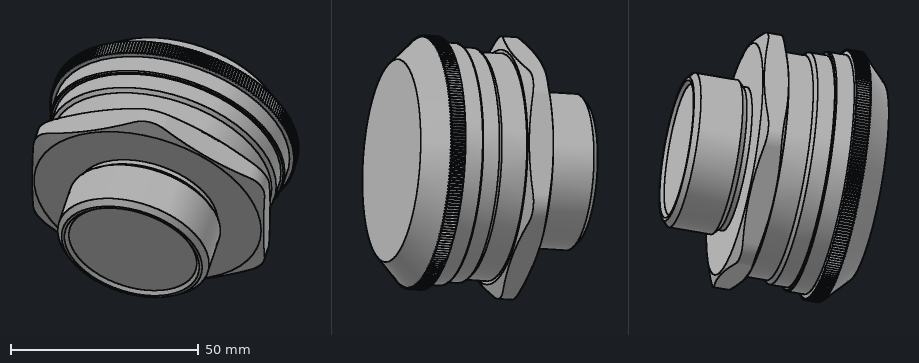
import cadquery as cq
import math


nose_length = 14.5
relief_length = 1.4
hex_thickness = 7.15
neck_length = 6.9
front_collar_length = 5.65
rear_collar_length = 5.15
cap_length = 10.85

nose_diameter = 41.9
relief_diameter = 38.9
neck_diameter = 61.0
front_collar_diameter = 63.0
rear_collar_diameter = 65.0

nose_chamfer = (nose_diameter - relief_diameter) / 2
front_collar_chamfer = (front_collar_diameter - neck_diameter) / 2
rear_collar_chamfer = 0.35

recess_mouth_diameter = 37.35
recess_floor_diameter = 35.4
recess_depth = (recess_mouth_diameter - recess_floor_diameter) / 2

hex_sides = 6
hex_across_flats = 64.05
hex_across_corners = 71.4
hex_face_diameter = 62.8
hex_chamfer_angle = 20.0

cap_diameter = 68.0
cap_end_diameter = 54.25
cap_lip_diameter = 65.4
cap_lip_bevel = 0.35
knurl_count = 240

relief_start = nose_length
hex_start = relief_start + relief_length
neck_start = hex_start + hex_thickness
front_collar_start = neck_start + neck_length
rear_collar_start = front_collar_start + front_collar_length
cap_start = rear_collar_start + rear_collar_length
cap_end = cap_start + cap_length


def turned(profile):
    """Revolve a list of (radius, y) points, closed along the axis, about Y."""
    start_y = profile[0][1]
    end_y = profile[-1][1]
    outline = [(0, start_y)] + profile + [(0, end_y)]
    return cq.Workplane("XY").polyline(outline).close().revolve(360, (0, 0), (0, 1))


def section(diameter, start, end, start_chamfer=0.0, end_chamfer=0.0):
    """Turned cylinder with optional 45 degree chamfers on its two ends."""
    radius = diameter / 2
    profile = []
    if start_chamfer:
        profile.append((radius - start_chamfer, start))
    profile.append((radius, start + start_chamfer))
    profile.append((radius, end - end_chamfer))
    if end_chamfer:
        profile.append((radius - end_chamfer, end))
    return turned(profile)


def plane_at(y):
    """Sketch plane facing +Y, with local x along +Z and local y along +X."""
    return cq.Workplane(cq.Plane(origin=(0, y, 0), xDir=(0, 0, 1), normal=(0, 1, 0)))


def make_nose():
    nose = section(nose_diameter, 0, nose_length, nose_chamfer, nose_chamfer)
    recess = turned([(recess_mouth_diameter / 2, 0), (recess_floor_diameter / 2, recess_depth)])
    return nose.cut(recess)


def make_hex():
    corner_ratio = 1 / math.cos(math.pi / hex_sides)
    sharp_corners = hex_across_flats * corner_ratio
    tip_cut = (sharp_corners - hex_across_corners) / 2
    corner_radius = tip_cut / (corner_ratio - 1)
    prism = plane_at(hex_start).polygon(hex_sides, sharp_corners).extrude(hex_thickness)
    prism = prism.edges("|Y").fillet(corner_radius)

    face_radius = hex_face_diameter / 2
    outer_radius = sharp_corners / 2
    bevel = (outer_radius - face_radius) * math.tan(math.radians(hex_chamfer_angle))
    envelope = turned([
        (face_radius, hex_start),
        (outer_radius, hex_start + bevel),
        (outer_radius, neck_start - bevel),
        (face_radius, neck_start),
    ])
    return prism.intersect(envelope)


def make_cap():
    radius = cap_diameter / 2
    end_radius = cap_end_diameter / 2
    blank = turned([
        (cap_lip_diameter / 2, cap_start),
        (radius, cap_start + cap_lip_bevel),
        (radius, cap_end - (radius - end_radius)),
        (end_radius, cap_end),
    ])

    half_step = math.pi / knurl_count
    root_radius = radius - radius * half_step
    teeth = []
    for index in range(2 * knurl_count):
        point_radius = radius if index % 2 else root_radius
        angle = index * half_step
        teeth.append((point_radius * math.cos(angle), point_radius * math.sin(angle)))
    knurl = plane_at(cap_start).polyline(teeth).close().extrude(cap_length)
    return blank.intersect(knurl)


sections = [
    section(relief_diameter, relief_start, hex_start),
    make_hex(),
    section(neck_diameter, neck_start, front_collar_start),
    section(front_collar_diameter, front_collar_start, rear_collar_start, front_collar_chamfer),
    section(rear_collar_diameter, rear_collar_start, cap_start, rear_collar_chamfer),
    make_cap(),
]

result = make_nose()
for part_section in sections:
    result = result.union(part_section)